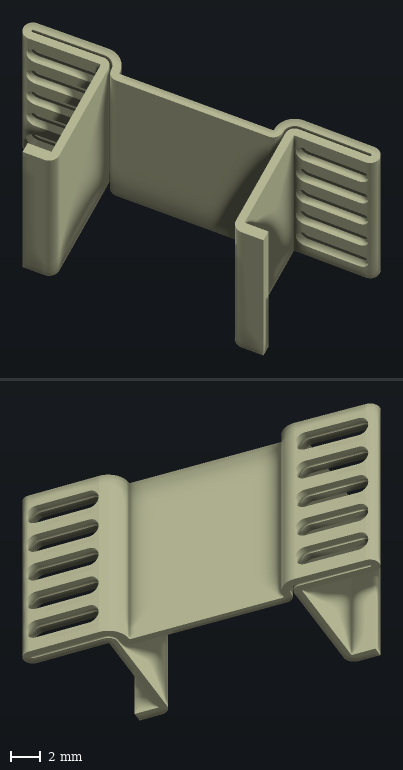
import cadquery as cq
import math

width = 26.22
depth = 10.2
height = 13.0

sheet = 0.6
gap = 0.2
inside_radius = 0.08
lean = 0.6
tight_radius = inside_radius + sheet / 2
wrap_radius = inside_radius + sheet + gap + sheet / 2
fold_radius = (gap + sheet) / 2
turn = 90 + lean

leg_spacing = 13.0
web_drop = 2.2
foot_reach = 2.35
foot_thickness = 0.8
foot_radius = 0.75

slot_count = 5
slot_pitch = 2.39
slot_height = 1.42
slot_edge = 0.52
slot_leg_margin = 0.13

leg_face = -leg_spacing / 2
leg_back = leg_face - sheet
wrap_x = leg_back - inside_radius
wrap_y = -(wrap_radius + sheet / 2)
riser_x = wrap_x + wrap_radius
web_length = -(riser_x + tight_radius)
web_y = -web_drop + sheet / 2
riser_length = wrap_y - (web_y + tight_radius)
foot_y = -depth

lean_angle = math.radians(lean)
fold_offset = (wrap_radius - fold_radius) * math.sin(lean_angle)
fold_x = -width / 2 + fold_radius + sheet / 2
flap_length = (wrap_x - fold_offset - fold_x) / math.cos(lean_angle)
leg_length = wrap_y - foot_y - foot_radius


def polar(centre, radius, degrees):
    """Point at a direction from a centre; a negative radius lies on the opposite side."""
    angle = math.radians(degrees)
    return (centre[0] + radius * math.cos(angle), centre[1] + radius * math.sin(angle))


def bent_strip(start, heading, steps):
    """Closed outline of a bent sheet whose middle line follows the steps.

    A step is ("straight", length) or ("bend", radius, angle); a positive angle bends left.
    """
    half = sheet / 2
    point = start
    left_start = polar(point, half, heading + 90)
    right_start = polar(point, -half, heading + 90)
    left_side = cq.Workplane("XY").moveTo(*left_start)
    right_points = [(right_start, None)]
    for step in steps:
        if step[0] == "straight":
            point = polar(point, step[1], heading)
            left_side = left_side.lineTo(*polar(point, half, heading + 90))
            right_points.append((polar(point, -half, heading + 90), None))
            continue
        radius, angle = step[1:]
        side = math.copysign(1, angle)
        centre = polar(point, side * radius, heading + 90)
        middle_direction = heading + angle / 2 - side * 90
        end_direction = heading + angle - side * 90
        left_radius = radius - side * half
        right_radius = radius + side * half
        left_side = left_side.threePointArc(
            polar(centre, left_radius, middle_direction), polar(centre, left_radius, end_direction)
        )
        right_points.append(
            (polar(centre, right_radius, end_direction), polar(centre, right_radius, middle_direction))
        )
        point = polar(centre, radius, end_direction)
        heading += angle

    outline = left_side.lineTo(*right_points[-1][0])
    for index in range(len(right_points) - 1, 0, -1):
        middle = right_points[index][1]
        target = right_points[index - 1][0]
        if middle is None:
            outline = outline.lineTo(*target)
        else:
            outline = outline.threePointArc(middle, target)
    return outline.close()


def make_sheet():
    """Left half of the web, the folded flap and the leg, in one bent strip."""
    steps = [
        ("straight", web_length),
        ("bend", tight_radius, -90),
        ("straight", riser_length),
        ("bend", wrap_radius, turn),
        ("straight", flap_length),
        ("bend", fold_radius, 180),
        ("straight", flap_length),
        ("bend", tight_radius, -turn),
        ("straight", leg_length),
    ]
    outline = bent_strip((0, web_y), 180, steps)
    return outline.extrude(height / 2, both=True)


def make_foot():
    """Thicker foot at the front of the leg, pointing outwards, with a rounded heel."""
    foot = (
        cq.Workplane("XY")
        .box(foot_reach, foot_thickness, height, centered=(False, False, True))
        .translate((leg_face - foot_reach, foot_y, 0))
    )
    return foot.edges("|Z and >X and <Y").fillet(foot_radius)


def make_slots():
    """Cutters for the row of round-ended slots through the flap."""
    slot_left = -width / 2 + slot_edge
    slot_right = leg_back - slot_leg_margin
    cut_depth = web_drop
    return (
        cq.Workplane("XZ")
        .center((slot_left + slot_right) / 2, 0)
        .rarray(0.25, slot_pitch, 1, slot_count)
        .slot2D(slot_right - slot_left, slot_height)
        .extrude(cut_depth)
    )


left_half = make_sheet().union(make_foot()).cut(make_slots())
result = left_half.union(left_half.mirror("YZ"))